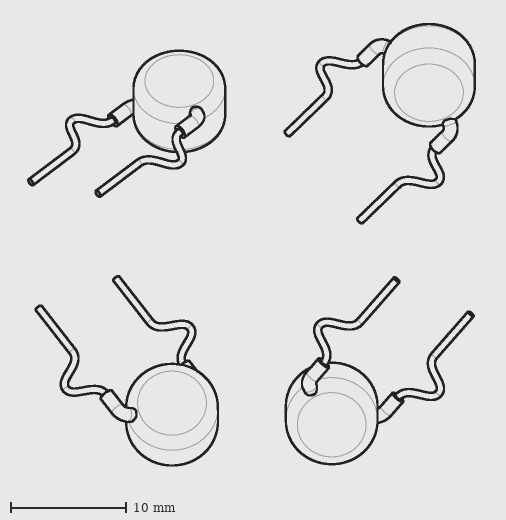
import cadquery as cq
import math

disc_radius = 4.0
disc_height = 5.5
disc_edge_fillet = 1.0

sleeve_radius = 0.61
sleeve_end_y = -disc_radius
sleeve_bend_start_y = -2.35
sleeve_bend_radius = 1.0
sleeve_bend_angle = 65
sleeve_tilt = 30
sleeve_root_length = 0.5

wire_radius = 0.32
wire_x = 4.15
wire_z = 2.745
wire_tip_y = -14.0
kink_end_y = -9.0
kink_peak_x = 6.669
kink_peak_y = (sleeve_end_y + kink_end_y) / 2
kink_foot_reach = 1.53
kink_peak_reach = 1.17


def make_disc():
    """Solid cylinder with both rims rounded."""
    return (
        cq.Workplane("XY")
        .workplane(offset=-disc_height / 2)
        .circle(disc_radius)
        .extrude(disc_height)
        .edges()
        .fillet(disc_edge_fillet)
    )


def make_sleeve():
    """Upper right sleeve: straight barrel, bend, and root buried in the disc."""
    tilt = math.radians(sleeve_tilt)
    inward = cq.Vector(-math.cos(tilt), 0, -math.sin(tilt))
    along = cq.Vector(0, 1, 0)
    bend_start = cq.Vector(wire_x, sleeve_bend_start_y, wire_z)

    def bend_point(degrees):
        angle = math.radians(degrees)
        return (
            bend_start
            + inward * (sleeve_bend_radius * (1 - math.cos(angle)))
            + along * (sleeve_bend_radius * math.sin(angle))
        )

    turn = math.radians(sleeve_bend_angle)
    root_direction = inward * math.sin(turn) + along * math.cos(turn)
    bend_end = bend_point(sleeve_bend_angle)
    root_end = bend_end + root_direction * sleeve_root_length

    barrel_end = cq.Vector(wire_x, sleeve_end_y, wire_z)
    path = cq.Wire.assembleEdges([
        cq.Edge.makeLine(barrel_end, bend_start),
        cq.Edge.makeThreePointArc(bend_start, bend_point(sleeve_bend_angle / 2), bend_end),
        cq.Edge.makeLine(bend_end, root_end),
    ])
    profile = cq.Workplane(cq.Plane(barrel_end, xDir=(1, 0, 0), normal=(0, 1, 0)))
    return profile.circle(sleeve_radius).sweep(cq.Workplane(path))


def make_wire():
    """Upper right lead: straight in the barrel, kinked outward, then straight to its tip."""
    root = cq.Vector(wire_x, sleeve_bend_start_y, wire_z)
    kink_start = cq.Vector(wire_x, sleeve_end_y, wire_z)
    kink_peak = cq.Vector(kink_peak_x, kink_peak_y, wire_z)
    kink_end = cq.Vector(wire_x, kink_end_y, wire_z)
    tip = cq.Vector(wire_x, wire_tip_y, wire_z)
    foot_handle = cq.Vector(0, -kink_foot_reach, 0)
    peak_handle = cq.Vector(0, -kink_peak_reach, 0)

    path = cq.Wire.assembleEdges([
        cq.Edge.makeLine(root, kink_start),
        cq.Edge.makeBezier([kink_start, kink_start + foot_handle, kink_peak - peak_handle, kink_peak]),
        cq.Edge.makeBezier([kink_peak, kink_peak + peak_handle, kink_end - foot_handle, kink_end]),
        cq.Edge.makeLine(kink_end, tip),
    ])
    profile = cq.Workplane(cq.Plane(root, xDir=(1, 0, 0), normal=(0, -1, 0)))
    return profile.circle(wire_radius).sweep(cq.Workplane(path))


coating = make_disc()
wires = []
for half_turn in (0, 180):
    sleeve = make_sleeve().rotate((0, 0, 0), (0, 1, 0), half_turn)
    wire = make_wire().rotate((0, 0, 0), (0, 1, 0), half_turn)
    coating = coating.union(sleeve).cut(wire)
    wires.append(wire)

result = cq.Compound.makeCompound([coating.val(), *[wire.val() for wire in wires]])